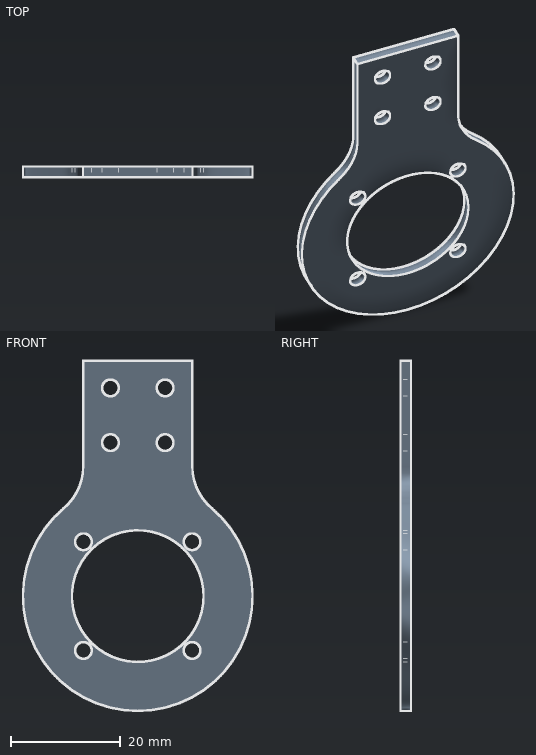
import cadquery as cq
import math

total_height = 64.0
thickness = 2.0
disc_radius = 21.0
tab_width = 20.0
neck_radius = 10.0
bore_diameter = 24.0
screw_diameter = 3.0
disc_screw_spacing = 19.85
tab_screw_spacing = 10.0
tab_screw_inset = 5.0

half_tab = tab_width / 2
tab_top = total_height - disc_radius

neck_center_x = half_tab + neck_radius
center_distance = disc_radius + neck_radius
neck_center_z = math.sqrt(center_distance**2 - neck_center_x**2)
disc_tangent_x = neck_center_x * disc_radius / center_distance
disc_tangent_z = neck_center_z * disc_radius / center_distance

neck_mid_angle = (math.pi + math.atan2(neck_center_z, neck_center_x) + math.pi) / 2
neck_mid_x = neck_center_x + neck_radius * math.cos(neck_mid_angle)
neck_mid_z = neck_center_z + neck_radius * math.sin(neck_mid_angle)


def make_plate():
    """Disc and tab joined by concave neck arcs, centred on Y = 0."""
    return (
        cq.Workplane("XZ", origin=(0, thickness / 2, 0))
        .moveTo(-half_tab, tab_top)
        .lineTo(half_tab, tab_top)
        .lineTo(half_tab, neck_center_z)
        .threePointArc((neck_mid_x, neck_mid_z), (disc_tangent_x, disc_tangent_z))
        .threePointArc((0, -disc_radius), (-disc_tangent_x, disc_tangent_z))
        .threePointArc((-neck_mid_x, neck_mid_z), (-half_tab, neck_center_z))
        .close()
        .extrude(thickness)
    )


def make_hole_cutter(diameter, points):
    """Cylinders through the full thickness at the given (x, z) points."""
    return (
        cq.Workplane("XZ", origin=(0, thickness / 2, 0))
        .pushPoints(points)
        .circle(diameter / 2)
        .extrude(thickness)
    )


def square_points(spacing, center_z):
    """Corners of a square centred on the Z axis."""
    half = spacing / 2
    return [(sx * half, center_z + sz * half) for sx in (-1, 1) for sz in (-1, 1)]


tab_pattern_z = tab_top - tab_screw_inset - tab_screw_spacing / 2
screw_points = square_points(disc_screw_spacing, 0) + square_points(tab_screw_spacing, tab_pattern_z)

result = (
    make_plate()
    .cut(make_hole_cutter(bore_diameter, [(0, 0)]))
    .cut(make_hole_cutter(screw_diameter, screw_points))
)